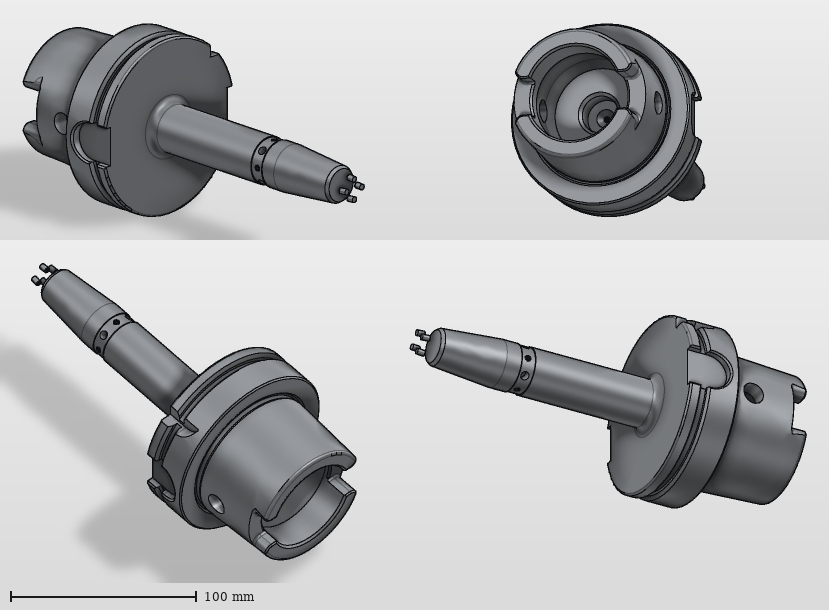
import cadquery as cq
import math


shank_length = 50.0
taper_large_radius = 38.0
taper_slope = 0.05
neck_radius = 37.6
neck_start = -1.5
neck_length = 2.6
shank_end_fillet = 1.8
relief_radius = 39.8
relief_depth = 1.0

bore_radius = 26.2
bore_chamfer = 1.2
undercut_radius = 27.7
undercut_start = -31.7
undercut_end = -11.5
bore_floor_x = -1.0
bore_floor_radius = 24.9
tube_bore_radius = 10.1
tube_bore_chamfer = 1.8
tube_bore_floor_x = 11.0
countersink_radius = 5.0
countersink_angle = 118.0

drive_slot_depth_front = 14.7
drive_slot_depth_back = 10.0
drive_slot_half_width = 10.1
drive_slot_lip_radius = 4.5
drive_slot_lip_span = 72.4
drive_slot_lip_reach = drive_slot_lip_span / 2
drive_slot_lip_flat = 13.2
drive_slot_edge_chamfer = 0.9
drive_slot_root_fillet = 1.3

access_hole_diameter = 12.0
access_hole_x = -15.0

flange_diameter = 100.0
flange_radius = flange_diameter / 2
flange_length = 29.0
flange_rear_chamfer = 0.9
flange_front_fillet = 1.0
groove_start = 17.0
groove_floor_start = 18.0
groove_floor_end = 21.8
groove_end = 23.0
groove_radius = 46.0
groove_shoulder_radius = 47.7

pocket_half_width = 11.0
pocket_center_x = 16.3
pocket_floor = 44.5
pocket_chamfer = 1.0
notch_offset = 31.7
notch_end_radius = 11.0

shaft_diameter = 27.0
shaft_radius = shaft_diameter / 2
shaft_root_fillet = 4.5
band_start = 104.7
band_end = 112.8
band_depth = 0.55
taper_start = 122.0
nose_end = 160.0
nose_taper_angle = 4.5
nose_chamfer_length = 2.0
nose_chamfer_depth = 1.3

screw_diameter = 3.3
screw_length = 4.6
screw_chamfer = 0.5
socket_width = 1.5
socket_depth = 2.2
screw_recess = 0.33
side_hole_x = 109.1
side_hole_count = 4
balance_hole_diameter = 4.6
balance_hole_depth = 5.5
loose_screw_orbit = 6.0
loose_screw_end = 170.0


def revolved(points):
    """Solid of revolution about X from (x, radius) points."""
    profile = cq.Workplane("XY").polyline([(x, -radius) for x, radius in points]).close()
    return profile.revolve(360, (0, 0, 0), (1, 0, 0))


def set_screw():
    """Set screw along +X from the origin, with its chamfered end and hexagon socket at x = 0."""
    body = cq.Workplane("YZ").circle(screw_diameter / 2).extrude(screw_length)
    body = body.faces("<X").edges().chamfer(screw_chamfer)
    across_corners = socket_width / math.cos(math.pi / 6)
    socket = cq.Workplane("YZ").polygon(6, across_corners).extrude(socket_depth)
    return body.cut(socket)


def turned_about_axis(shape, angle):
    """Copy of a shape turned about the tool axis."""
    return shape.rotate((0, 0, 0), (1, 0, 0), angle)


band_radius = shaft_radius - band_depth
countersink_depth = (countersink_radius - screw_diameter / 2) / math.tan(math.radians(countersink_angle / 2))
center_screw_x = tube_bore_floor_x + countersink_depth
side_step = 360 / side_hole_count


def place_radially(shape, index):
    """Point a shape's +X axis inward from the band on -Y, then turn it to its place around the tool axis."""
    inward = shape.rotate((0, 0, 0), (0, 0, 1), 90)
    outer_end = inward.translate((side_hole_x, screw_recess - band_radius, 0))
    return turned_about_axis(outer_end, index * side_step)


def place_loose_screw(shape, index):
    """Lean the screw with the nose taper, then turn it to its place ahead of the nose."""
    leaning = shape.translate((-screw_length / 2, 0, 0)).rotate((0, 0, 0), (0, 0, 1), nose_taper_angle)
    tilt = math.radians(nose_taper_angle)
    reach = screw_length / 2 * math.cos(tilt) + screw_diameter / 2 * math.sin(tilt)
    ahead_of_nose = leaning.translate((loose_screw_end - reach, -loose_screw_orbit, 0))
    return turned_about_axis(ahead_of_nose, index * side_step)


def holder_outside():
    shank_end_radius = taper_large_radius - taper_slope * (shank_length - neck_length)
    shank = revolved([
        (-shank_length, 0),
        (-shank_length, shank_end_radius),
        (-neck_length, taper_large_radius),
        (neck_start, neck_radius),
        (relief_depth, neck_radius),
        (relief_depth, 0),
    ]).faces("<X").edges().fillet(shank_end_fillet)

    flange = revolved([
        (relief_depth, 0),
        (relief_depth, relief_radius - relief_depth),
        (0, relief_radius),
        (0, flange_radius - flange_rear_chamfer),
        (flange_rear_chamfer, flange_radius),
        (groove_start, flange_radius),
        (groove_floor_start, groove_shoulder_radius),
        (groove_floor_start, groove_radius),
        (groove_floor_end, groove_radius),
        (groove_floor_end, groove_shoulder_radius),
        (groove_end, flange_radius),
        (flange_length, flange_radius),
        (flange_length, 0),
    ]).faces(">X").edges().fillet(flange_front_fillet)
    flange = flange.intersect(pocketed_disc())

    nose_end_radius = shaft_radius - (nose_end - taper_start) * math.tan(math.radians(nose_taper_angle))
    root_end = flange_length + shaft_root_fillet
    root_bend = shaft_root_fillet * (1 - math.sqrt(0.5))
    shaft = (
        cq.Workplane("XY")
        .moveTo(flange_length, 0)
        .lineTo(flange_length, shaft_radius + shaft_root_fillet)
        .threePointArc((flange_length + root_bend, shaft_radius + root_bend), (root_end, shaft_radius))
        .lineTo(band_start, shaft_radius)
        .lineTo(band_start, band_radius)
        .lineTo(band_end, band_radius)
        .lineTo(band_end, shaft_radius)
        .lineTo(taper_start, shaft_radius)
        .lineTo(nose_end - nose_chamfer_length, nose_end_radius)
        .lineTo(nose_end, nose_end_radius - nose_chamfer_depth)
        .lineTo(nose_end, 0)
        .close()
        .revolve(360, (0, 0, 0), (1, 0, 0))
    )
    return shank.union(flange).union(shaft)


def shank_bore():
    return revolved([
        (-shank_length, 0),
        (-shank_length, bore_radius),
        (undercut_start, bore_radius),
        (undercut_start, undercut_radius),
        (undercut_end, undercut_radius),
        (bore_floor_x, bore_floor_radius),
        (bore_floor_x, tube_bore_radius + tube_bore_chamfer),
        (bore_floor_x + tube_bore_chamfer, tube_bore_radius),
        (tube_bore_floor_x, tube_bore_radius),
        (tube_bore_floor_x, countersink_radius),
        (center_screw_x, screw_diameter / 2),
        (center_screw_x + screw_length, screw_diameter / 2),
        (center_screw_x + screw_length, 0),
    ])


def bore_mouth_chamfer(mouth_x):
    return revolved([
        (mouth_x, 0),
        (mouth_x, bore_radius + bore_chamfer),
        (mouth_x + bore_chamfer, bore_radius),
        (mouth_x + bore_chamfer, 0),
    ])


def drive_slot_profile():
    """Slot outline on the -Y side: straight walls, rounded lips, and flats leaving the lips tangentially."""
    lip_z = drive_slot_half_width + drive_slot_lip_radius
    lip_angle = math.asin(lip_z / (drive_slot_lip_reach - drive_slot_lip_radius))
    lip_y = lip_z / math.tan(lip_angle)
    middle_angle = (lip_angle - math.pi / 2) / 2
    bend_y = lip_y + drive_slot_lip_radius * math.cos(middle_angle)
    bend_z = lip_z + drive_slot_lip_radius * math.sin(middle_angle)
    lip_end_y = drive_slot_lip_reach * math.cos(lip_angle)
    lip_end_z = drive_slot_lip_reach * math.sin(lip_angle)
    flat_end_y = lip_end_y - drive_slot_lip_flat * math.sin(lip_angle)
    flat_end_z = lip_end_z + drive_slot_lip_flat * math.cos(lip_angle)
    return (
        cq.Workplane("YZ", origin=(-shank_length, 0, 0))
        .moveTo(0, -drive_slot_half_width)
        .lineTo(-lip_y, -drive_slot_half_width)
        .threePointArc((-bend_y, -bend_z), (-lip_end_y, -lip_end_z))
        .lineTo(-flat_end_y, -flat_end_z)
        .lineTo(-flange_radius, -flat_end_z)
        .lineTo(-flange_radius, flat_end_z)
        .lineTo(-flat_end_y, flat_end_z)
        .lineTo(-lip_end_y, lip_end_z)
        .threePointArc((-bend_y, bend_z), (-lip_y, drive_slot_half_width))
        .lineTo(0, drive_slot_half_width)
        .close()
    )


def drive_slot(depth):
    """Slot with a filleted floor edge, a chamfered end edge and a chamfer where its floor meets the bore."""
    slot = drive_slot_profile().extrude(depth).faces(">X").edges().fillet(drive_slot_root_fillet)
    widened_outline = drive_slot_profile().offset2D(drive_slot_edge_chamfer)
    end_edge = widened_outline.extrude(drive_slot_edge_chamfer, taper=45)
    floor_x = depth - shank_length
    floor_edge = (
        cq.Workplane("YZ", origin=(floor_x, 0, 0))
        .center(-flange_radius / 2, 0)
        .rect(flange_radius, 2 * (drive_slot_half_width - drive_slot_root_fillet))
        .extrude(bore_chamfer)
        .intersect(bore_mouth_chamfer(floor_x))
    )
    return slot.union(end_edge).union(floor_edge)


def rim_pocket():
    """Round-ended pocket on the -Y side of the flange, open at the front face."""
    plane = cq.Workplane("XZ", origin=(pocket_center_x, -pocket_floor, 0))
    round_end = plane.circle(pocket_half_width).extrude(flange_radius)
    run = plane.center(flange_length / 2, 0).rect(flange_length, 2 * pocket_half_width).extrude(flange_radius)
    return round_end.union(run)


def pocketed_disc():
    """Plain disc as large as the flange, with both rim pockets and the chamfers round their mouths."""
    disc = cq.Workplane("YZ").circle(flange_radius).extrude(flange_length)
    for angle in [0, 180]:
        disc = disc.cut(turned_about_axis(rim_pocket(), angle))
    margin = pocket_chamfer
    rim = cq.selectors.BoxSelector(
        (0, -flange_radius - margin, -pocket_half_width - margin),
        (flange_length - margin, flange_radius + margin, pocket_half_width + margin),
    )
    floors = cq.selectors.BoxSelector(
        (0, -pocket_floor - margin, -pocket_half_width - margin),
        (flange_length - margin, pocket_floor + margin, pocket_half_width + margin),
    )
    return disc.edges(rim - floors).chamfer(pocket_chamfer)


def corner_notch():
    """Square-cornered notch on the +Y +Z side of the rim whose floor curves up at its rear end."""
    return (
        cq.Workplane("XZ", origin=(0, notch_offset, 0))
        .moveTo(pocket_center_x, notch_offset)
        .lineTo(flange_length, notch_offset)
        .lineTo(flange_length, flange_radius)
        .lineTo(pocket_center_x - notch_end_radius, flange_radius)
        .lineTo(pocket_center_x - notch_end_radius, notch_offset + notch_end_radius)
        .radiusArc((pocket_center_x, notch_offset), -notch_end_radius)
        .close()
        .extrude(-flange_radius)
    )


def radial_hole(diameter, depth):
    """Hole along +X from the origin, started outside the surface."""
    overshoot = shaft_radius / 2
    start = cq.Workplane("YZ", origin=(-overshoot, 0, 0))
    return start.circle(diameter / 2).extrude(depth + overshoot)


def make_holder():
    holder = holder_outside().cut(shank_bore())
    holder = holder.cut(drive_slot(drive_slot_depth_front))
    holder = holder.cut(turned_about_axis(drive_slot(drive_slot_depth_back), 180))
    holder = holder.cut(bore_mouth_chamfer(-shank_length))

    access_hole = (
        cq.Workplane("XZ")
        .center(access_hole_x, 0)
        .circle(access_hole_diameter / 2)
        .extrude(flange_radius, both=True)
    )
    holder = holder.cut(access_hole)
    holder = holder.cut(corner_notch())

    for index in range(side_hole_count):
        holder = holder.cut(place_radially(radial_hole(screw_diameter, screw_length), index))
        balance_hole = place_radially(radial_hole(balance_hole_diameter, balance_hole_depth), index + 0.5)
        holder = holder.cut(balance_hole)
    return holder


holder = make_holder()
side_screws = [place_radially(set_screw(), index) for index in range(side_hole_count)]
center_screw = set_screw().translate((center_screw_x, 0, 0))
loose_screws = [place_loose_screw(set_screw(), index) for index in range(side_hole_count)]

result = cq.Compound.makeCompound([
    holder.val(),
    center_screw.val(),
    *[screw.val() for screw in side_screws],
    *[screw.val() for screw in loose_screws],
])